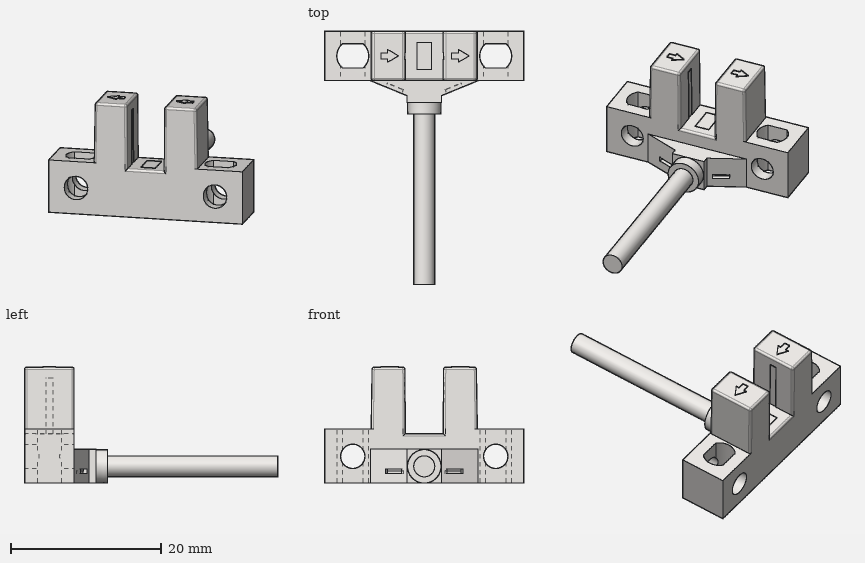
import cadquery as cq
import math


flange_length = 26.5
body_depth = 6.6
flange_height = 7.2
mid_depth = body_depth / 2

tower_top = 15.45
slot_floor = 6.6
fork_half_base = 7.08
fork_half_top = 6.95
slot_half_base = 2.5
slot_half_top = 2.55
edge_radius = 0.3

hole_offset = 9.5
hole_diameter = 3.2
hole_height = 3.57
slot_end_diameter = 4.2

boss_height = 4.5
boss_half_root = 7.18
boss_half_tip = 2.33
boss_taper_length = 2.0
boss_length = 2.9
collar_base_diameter = 4.48
collar_tip_diameter = 4.45
collar_length = 1.55
cable_diameter = 2.8
overall_depth = 33.7
cable_end = overall_depth - body_depth
cable_height = collar_base_diameter / 2

pocket_inner_x = 3.0
pocket_outer_x = 5.12
pocket_bottom = 1.3
pocket_height = 0.57
pocket_depth = 0.55
pocket_step = 0.05

mark_depth = 0.07
arrow_height = 0.1
window_width = 2.0
window_length = 3.6
aperture_width = 0.95
aperture_top = 14.0
arrow_tail_x = -5.75
arrow_neck_x = -4.85
arrow_tip_x = -3.45
arrow_spacing = 9.4
arrow_shaft_half = 0.4
arrow_head_half = 0.85


def mirrored(solid):
    """Return the solid together with its copy on the other side of X = 0."""
    return solid.union(solid.mirror("YZ"))


def make_fork():
    """U-shaped fork with rounded rims, standing on the underside plane."""
    right_side = [
        (fork_half_base, 0),
        (fork_half_base, flange_height),
        (fork_half_top, tower_top),
        (slot_half_top, tower_top),
        (slot_half_base, slot_floor),
    ]
    left_side = [(-x, z) for x, z in reversed(right_side)]
    fork = cq.Workplane("XZ").polyline(right_side + left_side).close().extrude(-body_depth)
    margin = 0.35
    rim_zone = cq.selectors.BoxSelector(
        (-fork_half_base - margin, -margin, slot_floor - margin),
        (fork_half_base + margin, body_depth + margin, tower_top + margin),
    )
    rims = fork.faces("<Y or >Y").edges(rim_zone)
    top_edges = fork.faces(">Z").edges("|Y")
    return fork.newObject(rims.vals() + top_edges.vals()).fillet(edge_radius)


def make_flange():
    """Mounting ends on both sides of the fork, joined by the web under its slot."""
    half = flange_length / 2
    web_top = slot_floor - edge_radius
    inner = slot_half_base + edge_radius
    outline = [(half, 0), (half, flange_height), (inner, flange_height), (inner, web_top)]
    outline += [(-x, z) for x, z in reversed(outline)]
    return cq.Workplane("XZ").polyline(outline).close().extrude(-body_depth)


def make_boss():
    """Boss narrowing from the body towards the cable outlet."""
    right_side = [
        (boss_half_root, 0),
        (boss_half_tip, -boss_taper_length),
        (boss_half_tip, -boss_length),
    ]
    left_side = [(-x, y) for x, y in reversed(right_side)]
    return cq.Workplane("XY").polyline(right_side + left_side).close().extrude(boss_height)


def make_cable():
    """Slightly conical collar followed by the round cable."""
    collar_end = boss_length + collar_length
    profile = [
        (0, -boss_length),
        (collar_base_diameter / 2, -boss_length),
        (collar_tip_diameter / 2, -collar_end),
        (cable_diameter / 2, -collar_end),
        (cable_diameter / 2, -cable_end),
        (0, -cable_end),
    ]
    turned = cq.Workplane("XY").polyline(profile).close().revolve(360, (0, 0, 0), (0, 1, 0))
    return turned.translate((0, 0, cable_height))


def make_mounting_holes():
    """A round hole along Y and a flat-sided slot along Z at each flange end."""
    cross_hole = (
        cq.Workplane("XZ")
        .center(hole_offset, hole_height)
        .circle(hole_diameter / 2)
        .extrude(-body_depth)
    )
    slot_round = (
        cq.Workplane("XY")
        .center(hole_offset, mid_depth)
        .circle(slot_end_diameter / 2)
        .extrude(flange_height)
    )
    slot_flats = (
        cq.Workplane("XY")
        .center(hole_offset, mid_depth)
        .rect(slot_end_diameter, hole_diameter)
        .extrude(flange_height)
    )
    return mirrored(cross_hole.union(slot_round.intersect(slot_flats)))


def make_indicator_pockets():
    """Two-level slots sunk square to the slanted faces of the boss."""
    run = boss_half_root - boss_half_tip
    slant = math.hypot(run, boss_taper_length)
    normal_x = boss_taper_length / slant
    normal_y = -run / slant

    def on_face(x):
        return x, -boss_taper_length * (boss_half_root - x) / run

    def sunk(height, depth):
        (x0, y0), (x1, y1) = on_face(pocket_inner_x), on_face(pocket_outer_x)
        dx, dy = -normal_x * depth, -normal_y * depth
        corners = [(x0, y0), (x1, y1), (x1 + dx, y1 + dy), (x0 + dx, y0 + dy)]
        base = cq.Workplane("XY", origin=(0, 0, pocket_bottom))
        return base.polyline(corners).close().extrude(height)

    upper = sunk(pocket_height, pocket_depth)
    lower = sunk(pocket_height / 2, pocket_depth + pocket_step)
    return mirrored(upper.union(lower))


def slot_wall_x(z):
    """Half width of the tapered slot at height z."""
    rise = (z - slot_floor) / (tower_top - slot_floor)
    return slot_half_base + (slot_half_top - slot_half_base) * rise


def make_slot_recesses():
    """Shallow window in the slot floor and a light aperture in each tower wall."""
    window = (
        cq.Workplane("XY", origin=(0, mid_depth, slot_floor))
        .rect(window_width, window_length)
        .extrude(-mark_depth)
    )
    aperture = (
        cq.Workplane("XZ", origin=(0, mid_depth - aperture_width / 2, 0))
        .polyline([
            (0, slot_floor),
            (slot_half_base + mark_depth, slot_floor),
            (slot_wall_x(aperture_top) + mark_depth, aperture_top),
            (0, aperture_top),
        ])
        .close()
        .extrude(-aperture_width)
    )
    return window.union(mirrored(aperture))


def make_arrows():
    """Raised direction arrow on each tower top."""
    outline = [
        (arrow_tail_x, arrow_shaft_half),
        (arrow_neck_x, arrow_shaft_half),
        (arrow_neck_x, arrow_head_half),
        (arrow_tip_x, 0),
        (arrow_neck_x, -arrow_head_half),
        (arrow_neck_x, -arrow_shaft_half),
        (arrow_tail_x, -arrow_shaft_half),
    ]
    arrow = (
        cq.Workplane("XY", origin=(0, mid_depth, tower_top))
        .polyline(outline)
        .close()
        .extrude(arrow_height)
    )
    return arrow.union(arrow.translate((arrow_spacing, 0, 0)))


result = (
    make_fork()
    .union(make_flange())
    .union(make_boss())
    .union(make_cable())
    .union(make_arrows())
    .cut(make_mounting_holes())
    .cut(make_indicator_pockets())
    .cut(make_slot_recesses())
)